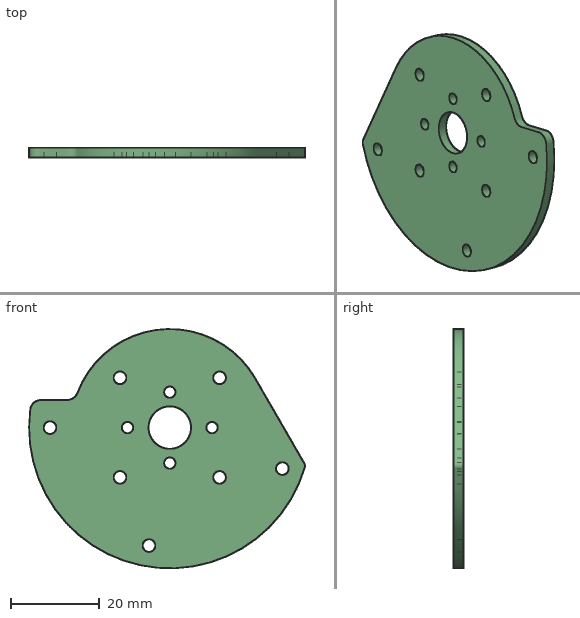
import cadquery as cq
import math

thickness = 2.29
cam_radius = 31.75
hub_radius = 22.25
flank_angle = 30.0
shoulder_height = 6.25
shoulder_fillet = 2.5
tip_fillet = 1.25

bore_diameter = 9.525
cross_hole_diameter = 2.5
cross_offset_x = 9.525
cross_offset_z = 8.0
mount_hole_diameter = 2.8
square_circle_radius = 15.875
square_first_angle = 45.0
square_count = 4
rim_circle_radius = 27.0
rim_first_angle = 180.0
rim_pitch_angle = 80.0
rim_count = 3


def polar(radius, degrees):
    """Point at a radius and angle about the bore axis."""
    angle = math.radians(degrees)
    return (radius * math.cos(angle), radius * math.sin(angle))


def direction(point):
    """Angle of a point about the bore axis, in degrees."""
    return math.degrees(math.atan2(point[1], point[0]))


def offset(point, distance, degrees):
    """Point moved by a distance along a direction."""
    dx, dz = polar(distance, degrees)
    return (point[0] + dx, point[1] + dz)


def make_plate():
    tip_reach = cam_radius - tip_fillet
    tip_angle = flank_angle - math.degrees(math.acos((hub_radius - tip_fillet) / tip_reach))
    tip_center = polar(tip_reach, tip_angle)
    tip_middle_angle = (flank_angle + tip_angle) / 2

    outer_z = shoulder_height - shoulder_fillet
    outer_x = -math.sqrt((cam_radius - shoulder_fillet) ** 2 - outer_z ** 2)
    outer_center = (outer_x, outer_z)
    outer_angle = direction(outer_center)
    outer_middle_angle = (90 + outer_angle) / 2

    inner_z = shoulder_height + shoulder_fillet
    inner_x = -math.sqrt((hub_radius + shoulder_fillet) ** 2 - inner_z ** 2)
    inner_center = (inner_x, inner_z)
    inner_angle = direction(inner_center)
    bore_side_angle = inner_angle - 180
    inner_middle_angle = (bore_side_angle - 90) / 2

    return (
        cq.Workplane("XZ")
        .moveTo(*polar(hub_radius, flank_angle))
        .lineTo(*offset(tip_center, tip_fillet, flank_angle))
        .threePointArc(
            offset(tip_center, tip_fillet, tip_middle_angle),
            polar(cam_radius, tip_angle),
        )
        .threePointArc(polar(cam_radius, -90), polar(cam_radius, outer_angle))
        .threePointArc(
            offset(outer_center, shoulder_fillet, outer_middle_angle),
            (outer_x, shoulder_height),
        )
        .lineTo(inner_x, shoulder_height)
        .threePointArc(
            offset(inner_center, shoulder_fillet, inner_middle_angle),
            polar(hub_radius, inner_angle),
        )
        .threePointArc(polar(hub_radius, 90), polar(hub_radius, flank_angle))
        .close()
        .extrude(-thickness)
    )


def drill(plate, points, diameter):
    """Cut through holes of one diameter at the given XZ points."""
    holes = cq.Workplane("XZ").pushPoints(points).circle(diameter / 2).extrude(-thickness)
    return plate.cut(holes)


cross_points = [(cross_offset_x, 0), (-cross_offset_x, 0), (0, cross_offset_z), (0, -cross_offset_z)]
square_points = [
    polar(square_circle_radius, square_first_angle + i * 360 / square_count)
    for i in range(square_count)
]
rim_points = [
    polar(rim_circle_radius, rim_first_angle + i * rim_pitch_angle)
    for i in range(rim_count)
]

result = make_plate()
result = drill(result, [(0, 0)], bore_diameter)
result = drill(result, cross_points, cross_hole_diameter)
result = drill(result, square_points + rim_points, mount_hole_diameter)